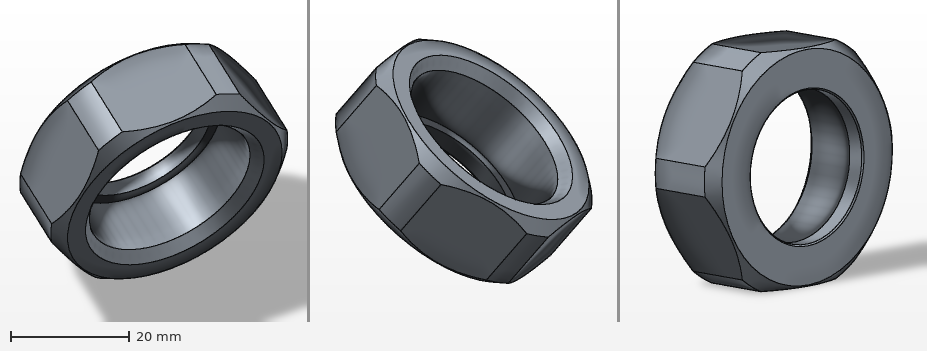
import cadquery as cq
import math

length = 16.0
across_flats = 41.0
corner_diameter = 44.7
face_diameter = 40.5
bore_diameter = 26.5
lip_length = 3.13
counterbore_diameter = 30.3
bore_chamfer = 0.25
flare_diameter = 33.7
flare_length = 1.9
hex_corner_span = across_flats / math.cos(math.pi / 6)
outer_chamfer = (corner_diameter - face_diameter) / 2


def hexagonal_body():
    """Hexagonal prism with flats on +Z and -Z, trimmed by a chamfered cylinder."""
    hexagon = cq.Workplane("YZ").polygon(6, hex_corner_span).extrude(length / 2, both=True)
    envelope = (
        cq.Workplane("YZ")
        .circle(corner_diameter / 2)
        .extrude(length / 2, both=True)
        .edges()
        .chamfer(outer_chamfer)
    )
    return hexagon.intersect(envelope)


def stepped_bore():
    """Narrow bore through the -X lip, wider bore beyond it, chamfered at both mouths."""
    half = length / 2
    radius = bore_diameter / 2
    wide_radius = counterbore_diameter / 2
    return (
        cq.Workplane("XY")
        .moveTo(-half, 0)
        .lineTo(-half, radius + bore_chamfer)
        .lineTo(-half + bore_chamfer, radius)
        .lineTo(-half + lip_length, radius)
        .lineTo(-half + lip_length, wide_radius)
        .lineTo(half - flare_length, wide_radius)
        .lineTo(half, flare_diameter / 2)
        .lineTo(half, 0)
        .close()
        .revolve(360, (0, 0, 0), (1, 0, 0))
    )


result = hexagonal_body().cut(stepped_bore())